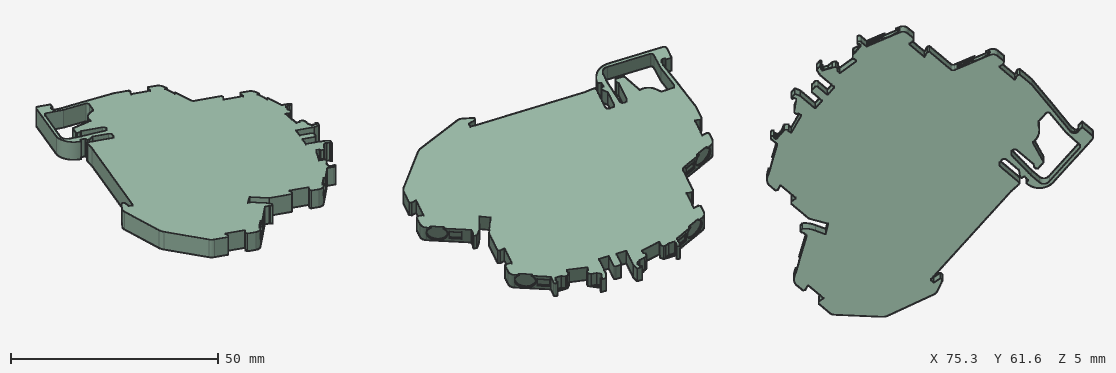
import cadquery as cq
import math

THICKNESS = 5.0
HEIGHT = 61.6
LEFT = -35.4
RIGHT = 39.9
TOWER_HALF = 25.4
SLOPE_ANGLE = 25.0
SLOPE = math.tan(math.radians(SLOPE_ANGLE))

POLE_X = 16.35
POLE_BASE_Y = 56.4
LEFT_SHOULDER_Y = 36.75
NOTCH_CORNER = (23.3, 34.05)
NOTCH_TOP_Y = 38.4
RIGHT_SHOULDER = (29.0, 35.9)
TOWER_CORNER_Y = POLE_BASE_Y - (TOWER_HALF - POLE_X) * SLOPE
LEFT_CORNER_Y = LEFT_SHOULDER_Y + (LEFT + TOWER_HALF) * SLOPE
RIGHT_CORNER_Y = RIGHT_SHOULDER[1] - (RIGHT - RIGHT_SHOULDER[0]) * SLOPE
CORNER_RADIUS = 1.8
SHOULDER_RADIUS = 0.75
RIGHT_FACE_END_Y = 18.4
RIGHT_FACE_RADIUS = 1.9
UNDERSIDE_BEND = (31.85, 8.3)
UNDERSIDE_RADIUS = 3.0

GROOVE_FLOOR_Y = 55.5
GROOVE_X = 3.55
PIN_HALF = 1.0
PIN_TOP_Y = 59.1
PIN_RADIUS = 0.45
SHELF_Y = 57.5

SLOT_DEPTH = 1.8
SLOT_HEIGHT = 5.0
LIP_HEIGHT = 0.3
LIP_SETBACK = 0.5
TOWER_SLOT_Y = 46.6
LEFT_SLOT_Y = 26.4
RIGHT_SLOT_Y = 25.1

SEAT_Y = 6.2
SEAT_LEFT = -12.0
SEAT_END_Y = 5.95
SPRING_SLOT_RIGHT = -14.9
SPRING_SLOT_LEFT = -17.2
SPRING_SLOT_TOP = 13.0
SPRING_SLOT_RADIUS = 0.75
FOOT_TOP_Y = 3.9
FOOT_RADIUS = 0.75
ARM_X = -32.7
ARM_BASE_Y = 5.3

OPENING_FLOOR = 0.9
OPENING_TOP = 12.7
OPENING_TOP_LEFT = -33.0
OPENING_BOTTOM_LEFT = -31.6
OPENING_RIGHT = -18.15

LABEL_FLOOR_Z = 0.45
FOOT_POCKET_FLOOR_Z = 1.0
RECESS_DEPTH = 0.45
ENTRY_RADIUS = 2.55
ENTRY_Z = 2.85
ENTRY_DISTANCE = 3.8
WINDOW_DISTANCE = 8.2
WINDOW_LENGTH = 3.0
WINDOW_WIDTH = 2.55


def plate(points, base=0.0):
    """Closed polygon extruded from height base to the top face."""
    return cq.Workplane("XY").workplane(offset=base).polyline(points).close().extrude(THICKNESS - base)


def mirrored(solid):
    """The solid together with its mirror image across the tower axis."""
    return solid.union(solid.mirror("YZ"))


def round_corner(body, x, y, radius):
    """Fillet the Z-parallel edge nearest to (x, y)."""
    nearest = cq.selectors.NearestToPointSelector((x, y, THICKNESS / 2))
    return body.edges("|Z").edges(nearest).fillet(radius)


def tower():
    """Symmetric upper tower with poles, shelves, hooks and a centre pin."""
    half = (
        cq.Workplane("XY")
        .moveTo(0, NOTCH_CORNER[1])
        .lineTo(-NOTCH_CORNER[0], NOTCH_CORNER[1])
        .lineTo(-TOWER_HALF, NOTCH_TOP_Y)
        .lineTo(-TOWER_HALF, TOWER_CORNER_Y)
        .lineTo(-POLE_X, POLE_BASE_Y)
        .lineTo(-POLE_X, 58.15)
        .threePointArc((-15.9, 58.8), (-15.4, 58.5))
        .lineTo(-15.6, 58.15)
        .lineTo(-15.6, SHELF_Y)
        .lineTo(-12.5, SHELF_Y)
        .lineTo(-11.75, 56.8)
        .lineTo(-12.05, 56.6)
        .lineTo(-12.0, 55.8)
        .lineTo(-7.1, 56.85)
        .lineTo(-7.15, 57.7)
        .lineTo(-7.6, 57.9)
        .lineTo(-7.6, 58.7)
        .lineTo(-6.9, 59.1)
        .lineTo(-4.8, 60.4)
        .lineTo(-4.9, 61.15)
        .lineTo(-5.35, 61.15)
        .lineTo(-5.35, HEIGHT)
        .lineTo(-4.0, HEIGHT)
        .lineTo(-GROOVE_X, 60.25)
        .lineTo(-GROOVE_X, GROOVE_FLOOR_Y)
        .lineTo(0, GROOVE_FLOOR_Y)
        .close()
        .extrude(THICKNESS)
    )
    half = round_corner(half, -TOWER_HALF, TOWER_CORNER_Y, CORNER_RADIUS)
    pin_height = PIN_TOP_Y - GROOVE_FLOOR_Y
    pin = cq.Workplane("XY").box(2 * PIN_HALF, pin_height, THICKNESS, centered=(True, False, False))
    pin = pin.edges("|Z and >Y").fillet(PIN_RADIUS).translate((0, GROOVE_FLOOR_Y, 0))
    return mirrored(half).union(pin)


def lower_body():
    """Wide lower body with the catch on the right and the spring foot on the left."""
    body = (
        cq.Workplane("XY")
        .moveTo(LEFT, LEFT_CORNER_Y)
        .lineTo(-TOWER_HALF, LEFT_SHOULDER_Y)
        .lineTo(-TOWER_HALF, NOTCH_TOP_Y)
        .lineTo(0, NOTCH_TOP_Y)
        .lineTo(*NOTCH_CORNER)
        .lineTo(25.7, 32.75)
        .lineTo(26.6, 35.25)
        .threePointArc((27.4, 36.9), (28.3, 37.95))
        .lineTo(29.15, 37.95)
        .lineTo(29.15, 37.3)
        .lineTo(28.9, 37.05)
        .lineTo(*RIGHT_SHOULDER)
        .lineTo(RIGHT, RIGHT_CORNER_Y)
        .lineTo(RIGHT, RIGHT_FACE_END_Y)
        .lineTo(*UNDERSIDE_BEND)
        .lineTo(19.9, 3.2)
        .threePointArc((19.2, 3.0), (18.5, 3.1))
        .lineTo(15.75, 3.9)
        .lineTo(15.75, 4.7)
        .lineTo(17.6, 5.1)
        .lineTo(17.6, SEAT_Y)
        .lineTo(SEAT_LEFT, SEAT_Y)
        .lineTo(-14.0, SEAT_END_Y)
        .lineTo(SPRING_SLOT_RIGHT, SEAT_END_Y)
        .lineTo(SPRING_SLOT_RIGHT, SPRING_SLOT_TOP)
        .lineTo(SPRING_SLOT_LEFT, SPRING_SLOT_TOP)
        .lineTo(SPRING_SLOT_LEFT, 8.3)
        .lineTo(-16.1, 7.0)
        .lineTo(-16.1, 6.5)
        .lineTo(-16.9, 6.2)
        .lineTo(-16.7, 4.9)
        .lineTo(-15.9, 4.8)
        .threePointArc((-16.9, 1.7), (-20.2, 0))
        .lineTo(LEFT, 0)
        .lineTo(LEFT, FOOT_TOP_Y)
        .lineTo(-33.6, FOOT_TOP_Y)
        .threePointArc((-33.0, 4.3), (ARM_X, ARM_BASE_Y))
        .lineTo(-33.9, 11.7)
        .lineTo(LEFT, 20.1)
        .close()
        .extrude(THICKNESS)
    )
    corners = (
        (LEFT, LEFT_CORNER_Y, CORNER_RADIUS),
        (RIGHT, RIGHT_CORNER_Y, CORNER_RADIUS),
        (RIGHT, RIGHT_FACE_END_Y, RIGHT_FACE_RADIUS),
        (*UNDERSIDE_BEND, UNDERSIDE_RADIUS),
        (SPRING_SLOT_RIGHT, SPRING_SLOT_TOP, SPRING_SLOT_RADIUS),
        (SPRING_SLOT_LEFT, SPRING_SLOT_TOP, SPRING_SLOT_RADIUS),
        (LEFT, 0, FOOT_RADIUS),
    )
    for x, y, radius in corners:
        body = round_corner(body, x, y, radius)
    return body


def foot_opening():
    """Through opening that leaves the thin spring arm and the foot around it."""
    opening = (
        cq.Workplane("XY")
        .moveTo(-31.8, 5.95)
        .lineTo(OPENING_TOP_LEFT, OPENING_TOP)
        .lineTo(-29.3, OPENING_TOP)
        .lineTo(-28.6, 12.0)
        .threePointArc((-27.2, 10.6), (-24.6, 10.4))
        .lineTo(-22.6, 5.05)
        .lineTo(-20.4, 5.05)
        .lineTo(-20.2, 5.4)
        .lineTo(-20.2, 6.1)
        .lineTo(-20.6, 6.55)
        .lineTo(-20.6, 12.0)
        .threePointArc((-19.7, OPENING_TOP), (-18.8, 12.0))
        .lineTo(OPENING_RIGHT, 5.1)
        .lineTo(OPENING_RIGHT, OPENING_FLOOR)
        .lineTo(OPENING_BOTTOM_LEFT, OPENING_FLOOR)
        .close()
        .extrude(THICKNESS)
    )
    corners = (
        (OPENING_TOP_LEFT, OPENING_TOP, 0.6),
        (OPENING_RIGHT, OPENING_FLOOR, 1.65),
        (OPENING_BOTTOM_LEFT, OPENING_FLOOR, 0.7),
    )
    for x, y, radius in corners:
        opening = round_corner(opening, x, y, radius)
    return opening


def side_slot(face_x, inward, middle_y):
    """Slot cut from the side face at face_x; its two lips rise towards the mouth."""
    half = SLOT_HEIGHT / 2
    crest = half - LIP_HEIGHT
    floor_x = face_x + inward * SLOT_DEPTH
    crest_x = face_x + inward * LIP_SETBACK
    upper = [(floor_x, half), (crest_x, crest), (face_x, half)]
    lower = [(x, -y) for x, y in reversed(upper)]
    return plate([(x, middle_y + y) for x, y in upper + lower])


def label_pockets():
    """Pockets in the shelf and the hook, closed by a thin wall at the bottom face."""
    shelf = [(-15.45, SHELF_Y), (-15.45, 57.1), (-13.9, 57.1), (-12.95, SHELF_Y)]
    hook = [(-6.9, 59.1), (-5.6, 59.35), (-4.7, 59.95), (-4.7, 60.5), (-4.8, 60.4)]
    return mirrored(plate(shelf, LABEL_FLOOR_Z).union(plate(hook, LABEL_FLOOR_Z)))


def foot_pocket():
    """Small pocket behind the foot lip, closed at the bottom face."""
    return plate(
        [(-33.9, ARM_BASE_Y), (-33.9, 3.5), (-33.2, 3.5), (ARM_X, 3.85), (ARM_X, ARM_BASE_Y)],
        FOOT_POCKET_FLOOR_Z,
    )


def shoulder_recesses(corner_x, corner_y, uphill):
    """Round wire entry and rectangular tool window sunk into a sloping shoulder.

    They are placed along the shoulder from its sharp outer corner; uphill is +1 or -1 along X.
    """
    entry = (
        cq.Workplane("XZ", origin=(ENTRY_DISTANCE, 0, ENTRY_Z))
        .circle(ENTRY_RADIUS)
        .extrude(RECESS_DEPTH)
    )
    window = cq.Workplane("XY").box(WINDOW_LENGTH, RECESS_DEPTH, WINDOW_WIDTH)
    window = window.translate((WINDOW_DISTANCE, -RECESS_DEPTH / 2, THICKNESS / 2))
    sunk = entry.union(window).rotate((0, 0, 0), (0, 0, 1), SLOPE_ANGLE)
    if uphill < 0:
        sunk = sunk.mirror("YZ")
    return sunk.translate((corner_x, corner_y, 0))


result = lower_body().union(tower())
result = round_corner(result, -TOWER_HALF, LEFT_SHOULDER_Y, SHOULDER_RADIUS)
result = result.cut(foot_opening()).cut(label_pockets()).cut(foot_pocket())

for face_x, inward, middle_y in (
    (-TOWER_HALF, 1, TOWER_SLOT_Y),
    (TOWER_HALF, -1, TOWER_SLOT_Y),
    (LEFT, 1, LEFT_SLOT_Y),
    (RIGHT, -1, RIGHT_SLOT_Y),
):
    result = result.cut(side_slot(face_x, inward, middle_y))

for corner_x, corner_y, uphill in (
    (-TOWER_HALF, TOWER_CORNER_Y, 1),
    (TOWER_HALF, TOWER_CORNER_Y, -1),
    (LEFT, LEFT_CORNER_Y, 1),
    (RIGHT, RIGHT_CORNER_Y, -1),
):
    result = result.cut(shoulder_recesses(corner_x, corner_y, uphill))